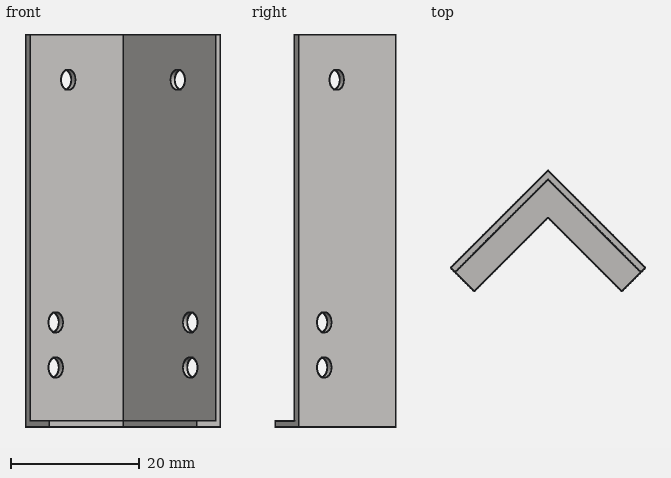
import cadquery as cq
import math

height = 61.0
overall_width = 30.25
overall_depth = 18.8
sheet = 1.0

leg_length = overall_width / math.sqrt(2)
flange_width = overall_depth * math.sqrt(2) - leg_length

hole_diameter = 3.2
upper_hole = (13.0, height - 7.0)
lower_hole_distance = 15.75
lower_hole_height = 9.3
lower_hole_pitch = 7.0
holes = [
    upper_hole,
    (lower_hole_distance, lower_hole_height),
    (lower_hole_distance, lower_hole_height + lower_hole_pitch),
]


def angle_prism(band, prism_height):
    """L-shaped prism with its outer corner at the origin and legs along +X and +Y."""
    outline = [
        (0, 0),
        (leg_length, 0),
        (leg_length, band),
        (band, band),
        (band, leg_length),
        (0, leg_length),
    ]
    return cq.Workplane("XY").polyline(outline).close().extrude(prism_height)


def hole_cutters(plane, side):
    """Cylinders through one leg; side is the sign of the plane normal into the leg."""
    return (
        cq.Workplane(plane)
        .pushPoints(holes)
        .circle(hole_diameter / 2)
        .extrude(side * sheet)
    )


bracket = angle_prism(sheet, height).union(angle_prism(flange_width, sheet))

bracket = bracket.cut(hole_cutters("XZ", -1)).cut(hole_cutters("YZ", 1))

ridge_turn = -135
result = bracket.rotate((0, 0, 0), (0, 0, 1), ridge_turn).translate((0, overall_depth / 2, 0))